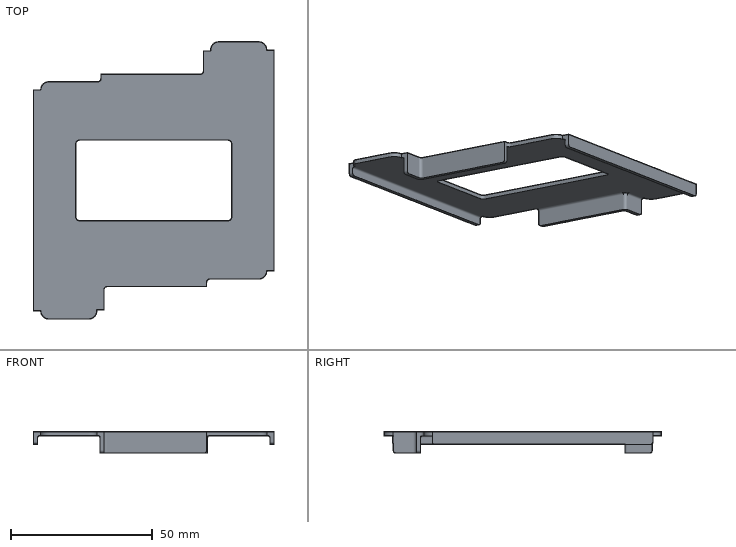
import cadquery as cq

width = 85.0
length = 98.0
sheet = 1.5
side_flange_depth = 4.5
wall_depth = 7.5

tab_radius = 2.9
step_radius = 1.1
wall_inner_radius = 1.0
bend_radius = 0.7
flange_corner = 1.0

half_width = width / 2
half_length = length / 2
tab_inset = 2.5
tab_x = half_width - tab_inset
long_shoulder_y = half_length - tab_radius
short_tab_y = 34.9
short_shoulder_y = short_tab_y - tab_radius
wall_y = 37.5
wall_start_x = -17.5
wall_end_x = 18.7
step_tab_x = -20.1
step_shoulder_y = 45.8

window_width = 55.0
window_height = 28.4
window_radius = 1.3


def half_turn(shape):
    return shape.rotate((0, 0, 0), (0, 0, 1), 180)


def round_corners(shape, corners, radius):
    """Fillet the vertical edges standing at the given plan points."""
    reach = 0.05
    for x, y in corners:
        near_corner = cq.selectors.BoxSelector(
            (x - reach, y - reach, -length), (x + reach, y + reach, length)
        )
        shape = shape.edges("|Z").edges(near_corner).fillet(radius)
    return shape


def tab_corner_waste(x, y, on_left):
    """Material outside the quarter round at a front tab corner, as a cutter."""
    center_x = x + tab_radius if on_left else x - tab_radius
    center_y = y + tab_radius
    square = cq.Workplane("XY").moveTo((x + center_x) / 2, (y + center_y) / 2).rect(tab_radius, tab_radius)
    disc = cq.Workplane("XY").moveTo(center_x, center_y).circle(tab_radius)
    return square.extrude(-sheet).cut(disc.extrude(-sheet))


def make_plate():
    half_outline = [
        (-half_width, -long_shoulder_y),
        (-tab_x, -long_shoulder_y),
        (-tab_x, -half_length),
        (step_tab_x, -half_length),
        (step_tab_x, -step_shoulder_y),
        (wall_start_x, -step_shoulder_y),
        (wall_start_x, -wall_y),
        (wall_end_x, -wall_y),
        (wall_end_x, -short_tab_y),
        (tab_x, -short_tab_y),
        (tab_x, -short_shoulder_y),
        (half_width, -short_shoulder_y),
    ]
    outline = half_outline + [(-x, -y) for x, y in half_outline]
    plate = cq.Workplane("XY").polyline(outline).close().extrude(-sheet)

    tab_corners = [
        (-tab_x, -half_length, True),
        (step_tab_x, -half_length, False),
        (tab_x, -short_tab_y, False),
    ]
    step_corners = [(wall_start_x, -wall_y), (wall_end_x, -short_tab_y)]
    for sign in (1, -1):
        plate = round_corners(plate, [(sign * x, sign * y) for x, y in step_corners], step_radius)
    for x, y, on_left in tab_corners:
        waste = tab_corner_waste(x, y, on_left)
        plate = plate.cut(waste).cut(half_turn(waste))

    window = cq.Workplane("XY").rect(window_width, window_height).extrude(-sheet)
    return plate.cut(window.edges("|Z").fillet(window_radius))


def make_side_flange():
    """Left flange with rounded lower corners."""
    flange = cq.Workplane("XY").box(
        sheet, long_shoulder_y + short_shoulder_y, side_flange_depth, centered=False
    ).translate((-half_width, -long_shoulder_y, -side_flange_depth))
    return flange.edges("|X and <Z").fillet(flange_corner)


def make_end_wall():
    """L-shaped deep wall following the step in the front outline."""
    inner_x = wall_start_x - sheet
    inner_y = -wall_y + sheet
    wall = (
        cq.Workplane("XY")
        .polyline([
            (inner_x, -step_shoulder_y),
            (wall_start_x, -step_shoulder_y),
            (wall_start_x, -wall_y),
            (wall_end_x, -wall_y),
            (wall_end_x, inner_y),
            (inner_x, inner_y),
        ])
        .close()
        .extrude(-wall_depth)
    )
    wall = round_corners(wall, [(wall_start_x, -wall_y)], step_radius)
    wall = round_corners(wall, [(inner_x, inner_y)], wall_inner_radius)
    wall = wall.faces("<Y").edges("<Z").fillet(flange_corner)
    return wall.faces(">X").edges("<Z").fillet(flange_corner)


def bend_fillet(start, end, toward):
    """Concave strip under the sheet, along a wall face from start to end.

    toward is the unit direction from the wall into the underside.
    """
    run = cq.Vector(*end) - cq.Vector(*start)
    plane = cq.Plane(origin=start, xDir=toward, normal=run.normalized().toTuple())
    down = -1 if plane.yDir.z > 0 else 1
    strip = cq.Workplane(plane).rect(bend_radius, down * bend_radius, centered=False).extrude(run.Length)
    round_off = (
        cq.Workplane(plane)
        .center(bend_radius, down * bend_radius)
        .circle(bend_radius)
        .extrude(run.Length)
    )
    return strip.cut(round_off)


def make_bends():
    side_x = -half_width + sheet
    step_x = wall_start_x - sheet
    end_y = -wall_y + sheet
    side = bend_fillet((side_x, -long_shoulder_y, -sheet), (side_x, short_shoulder_y, -sheet), (1, 0, 0))
    step = bend_fillet(
        (step_x, -step_shoulder_y, -sheet), (step_x, end_y - wall_inner_radius, -sheet), (-1, 0, 0)
    )
    end = bend_fillet(
        (step_x + wall_inner_radius, end_y, -sheet), (wall_end_x, end_y, -sheet), (0, 1, 0)
    )
    return side.union(step).union(end)


half_features = make_side_flange().union(make_end_wall()).union(make_bends())
result = make_plate().union(half_features).union(half_turn(half_features))